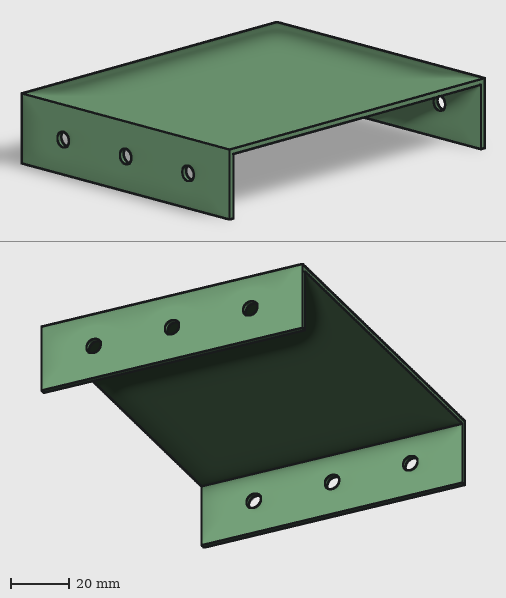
import cadquery as cq

width = 100.0
length = 125.0
height = 25.0
thickness = 2.0
hole_diameter = 5.5
hole_spacing = 30.0
hole_count = 3


def make_channel():
    """Top plate with a flange hanging down at each Y end."""
    outer = cq.Workplane("XY").box(width, length, height)
    inner = (
        cq.Workplane("XY")
        .box(width, length - 2 * thickness, height)
        .translate((0, 0, -thickness))
    )
    return outer.cut(inner)


def make_flange_holes():
    """Row of cylinders along Y, at mid height, that pass through both flanges."""
    return (
        cq.Workplane("XZ")
        .rarray(hole_spacing, height, hole_count, 1)
        .circle(hole_diameter / 2)
        .extrude(length, both=True)
    )


result = make_channel().cut(make_flange_holes())